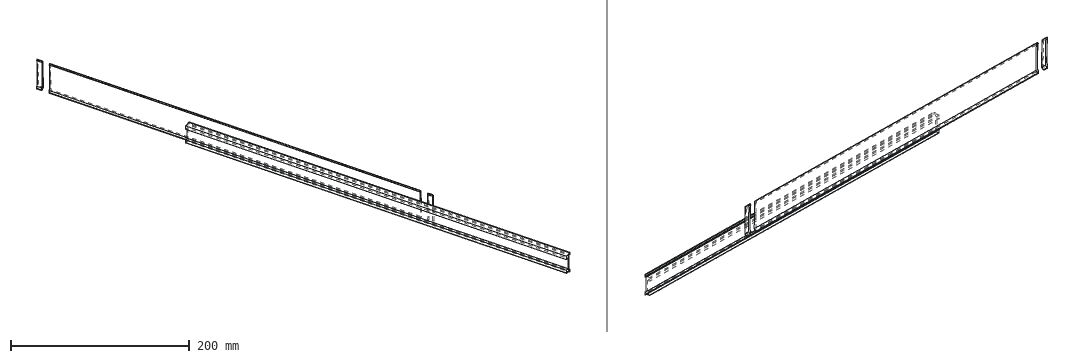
import cadquery as cq
import math

TOTAL_LENGTH = 707.5
TOTAL_DEPTH = 18.0
TOTAL_HEIGHT = 39.0

END_LENGTH = 6.5
END_GAP = 10.0
OUTER_LENGTH = 489.0
INNER_START = 205.0

HALF_HEIGHT = TOTAL_HEIGHT / 2
BACK_Y = TOTAL_DEPTH / 2
FLANGE_FRONT_Y = 5.4
WEB_THICKNESS = 2.3
WEB_FRONT_Y = BACK_Y - WEB_THICKNESS
WEB_LEAN = 0.65
WEB_HOLLOW = 0.18
WEB_TOP_Z = 18.0
WEB_BOTTOM_Z = -13.5
LOWER_FLANGE_ANGLE = 24
BEND_RADIUS = 3.5
BACK_BEND_Z = -17.0

INNER_FRONT_Y = -TOTAL_DEPTH / 2
INNER_WEB_FRONT_Y = -5.3
INNER_WEB_BACK_Y = -3.2
INNER_BACK_Y = -1.5
LIP_TOP_DEPTH = 2.5
LIP_ANGLE = 4.9
SHOULDER_END_Y = -2.5
SHOULDER_BULGE = 0.35

INNER_CENTRE_Z = -1.5
WEB_CORNER_Z = 6.85
LIP_INNER_Z = 7.0
FLANGE_UNDERSIDE_Z = 10.0
LIP_OUTER_Z = 11.0
INNER_HALF_HEIGHT = 13.0


def outer_profile_bar(start_x, length):
    """A length of the outer profile; the web's front and back are shallow arcs."""
    top_front_y = WEB_FRONT_Y - WEB_LEAN
    top_back_y = BACK_Y - WEB_LEAN
    upper_reach = top_front_y - FLANGE_FRONT_Y
    lower_reach = WEB_FRONT_Y - FLANGE_FRONT_Y
    lower_drop = lower_reach / math.tan(math.radians(LOWER_FLANGE_ANGLE))
    mid_shift = WEB_LEAN / 2 - WEB_HOLLOW
    mid_z = (WEB_TOP_Z + WEB_BOTTOM_Z) / 2
    back_mid_z = (WEB_TOP_Z + BACK_BEND_Z) / 2
    bar = (
        cq.Workplane("YZ", origin=(start_x, 0, 0))
        .moveTo(WEB_FRONT_Y, WEB_BOTTOM_Z)
        .threePointArc((WEB_FRONT_Y - mid_shift, mid_z), (top_front_y, WEB_TOP_Z))
        .lineTo(FLANGE_FRONT_Y, WEB_TOP_Z + upper_reach)
        .lineTo(WEB_FRONT_Y, HALF_HEIGHT)
        .lineTo(top_back_y, WEB_TOP_Z)
        .threePointArc((BACK_Y - mid_shift, back_mid_z), (BACK_Y, BACK_BEND_Z))
        .lineTo(BACK_Y - (HALF_HEIGHT + BACK_BEND_Z), -HALF_HEIGHT)
        .lineTo(FLANGE_FRONT_Y, -HALF_HEIGHT)
        .lineTo(FLANGE_FRONT_Y, WEB_BOTTOM_Z - lower_drop)
        .close()
        .extrude(length)
    )
    lower_bend = cq.selectors.NearestToPointSelector(
        (start_x + length / 2, WEB_FRONT_Y, WEB_BOTTOM_Z)
    )
    return bar.edges(lower_bend).fillet(BEND_RADIUS)


def inner_profile_bar(start_x, length):
    """The inner rail: a flat web with front lips and rounded flanges reaching back."""
    lip_height = LIP_OUTER_Z - LIP_INNER_Z
    lip_outer_y = INNER_FRONT_Y + lip_height * math.tan(math.radians(LIP_ANGLE))
    lip_top_end_y = lip_outer_y + LIP_TOP_DEPTH
    upper_half = (
        cq.Workplane("YZ", origin=(start_x, 0, INNER_CENTRE_Z))
        .moveTo(INNER_WEB_FRONT_Y, 0)
        .lineTo(INNER_WEB_FRONT_Y, WEB_CORNER_Z)
        .lineTo(INNER_FRONT_Y, LIP_INNER_Z)
        .lineTo(lip_outer_y, LIP_OUTER_Z)
        .lineTo(lip_top_end_y, LIP_OUTER_Z)
        .sagittaArc((SHOULDER_END_Y, INNER_HALF_HEIGHT), -SHOULDER_BULGE)
        .lineTo(INNER_BACK_Y, INNER_HALF_HEIGHT)
        .lineTo(INNER_BACK_Y, FLANGE_UNDERSIDE_Z)
        .lineTo(INNER_WEB_BACK_Y, FLANGE_UNDERSIDE_Z)
        .lineTo(INNER_WEB_BACK_Y, 0)
        .close()
        .extrude(length)
    )
    lower_half = upper_half.mirror("XY", (0, 0, INNER_CENTRE_Z))
    return upper_half.union(lower_half).clean()


outer_start = END_LENGTH + END_GAP
outer_rail = outer_profile_bar(outer_start, OUTER_LENGTH)

end_pieces = []
for end_start in (0, outer_start + OUTER_LENGTH + END_GAP):
    end_pieces.append(outer_profile_bar(end_start, END_LENGTH).val())

inner_rail = inner_profile_bar(INNER_START, TOTAL_LENGTH - INNER_START)

result = cq.Compound.makeCompound([outer_rail.val(), *end_pieces, inner_rail.val()])